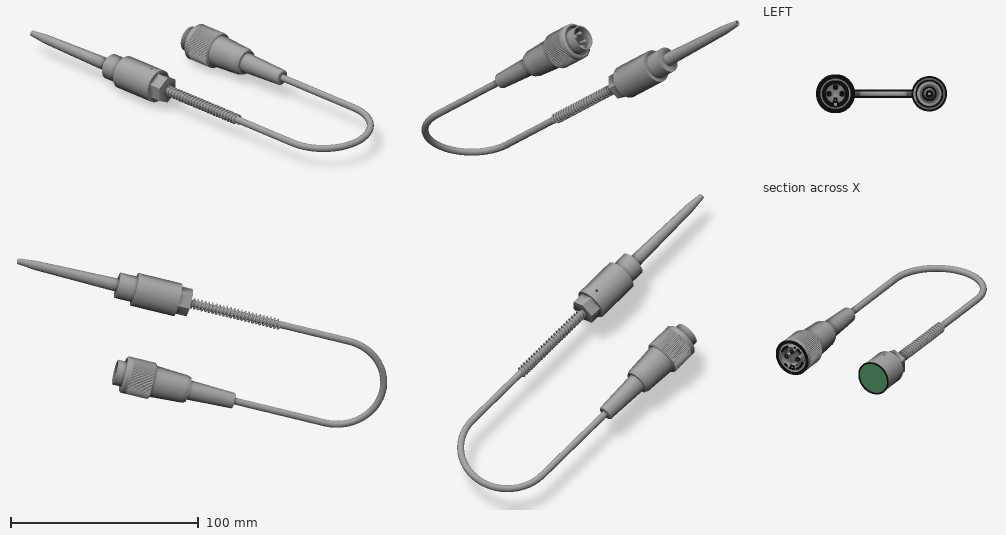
import cadquery as cq
import math


cable_diameter = 3.7
bend_radius = 25.0
overall_length = 209.72
bend_center_x = overall_length - bend_radius - cable_diameter / 2
plug_axis_y = 2 * bend_radius

tip_diameter = 3.0
tip_bore_diameter = 2.46
tip_bore_depth = 3.0
nose_length = 10.0
nose_end_diameter = 5.0
taper_end_x = 52.5
shank_diameter = 7.0
probe_length = 55.0

collar_diameter = 13.9
collar_length = 9.5
grip_diameter = 18.0
grip_length = 24.0
vent_diameter = 1.5
vent_depth = 3.0
vent_from_grip_end = 4.7
handle_start_x = probe_length
grip_start_x = handle_start_x + collar_length
handle_end_x = grip_start_x + grip_length

nut_across_flats = 13.0
nut_length = 6.5
nut_turn = 90
nut_end_x = handle_end_x + nut_length

wire_diameter = 1.0
spring_pitch = 2.0
spring_length = 50.0
spring_diameter = 6.0
coil_radius = (spring_diameter - wire_diameter) / 2

ring_start_x = 71.8
ring_length = 16.3
ring_diameter = 19.9
ring_chamfer = 0.8
ring_recess_diameter = 17.1
ring_recess_depth = 2.5
smooth_band_length = 3.2
groove_count = 72
groove_width = 0.8
groove_depth = 0.35
ring_end_x = ring_start_x + ring_length

plug_start_x = 67.3
plug_nose_diameter = 13.6
plug_bore_diameter = 12.4
plug_bore_depth = 10.0
backshell_diameter = 17.1
backshell_end_diameter = 15.0
backshell_taper_end_x = 105.5
backshell_rim_diameter = 13.6
plug_end_x = 107.5
insulator_diameter = 11.2
insulator_height = 1.0
insulator_notch_width = 1.5
insulator_notch_radius = 2.4
pin_diameter = 2.0
pin_circle_radius = 3.5
pin_recess = 1.5
pin_chamfer = 0.4
pin_angles = (0, 90, 180)
key_width = 2.2
key_inner_radius = 4.6

boot_diameter = 10.6
boot_end_diameter = 8.4
boot_end_x = 132.9
boot_edge_radius = 0.8


def revolved(profile, axis_y=0.0):
    """Turn (x, radius) points into a solid of revolution about a line parallel to X."""
    start_x = profile[0][0]
    end_x = profile[-1][0]
    outline = [(start_x, 0)] + profile + [(end_x, 0)]
    solid = cq.Workplane("XY").polyline(outline).close().revolve(360, (0, 0, 0), (1, 0, 0))
    return solid.translate((0, axis_y, 0))


def rod(diameter, start_x, end_x, y=0.0, z=0.0):
    """Make a cylinder parallel to X."""
    plane = cq.Workplane("YZ", origin=(start_x, y, z))
    return plane.circle(diameter / 2).extrude(end_x - start_x)


def make_probe():
    body = revolved([
        (0, tip_diameter / 2),
        (nose_length, nose_end_diameter / 2),
        (taper_end_x, shank_diameter / 2),
        (probe_length, shank_diameter / 2),
    ])
    return body.cut(rod(tip_bore_diameter, 0, tip_bore_depth))


def make_handle():
    collar = rod(collar_diameter, handle_start_x, grip_start_x)
    grip = rod(grip_diameter, grip_start_x, handle_end_x)
    vent_x = handle_end_x - vent_from_grip_end
    vent_floor = cq.Workplane("XY", origin=(vent_x, 0, grip_diameter / 2 - vent_depth))
    vent = vent_floor.circle(vent_diameter / 2).extrude(vent_depth)
    return collar.union(grip).cut(vent)


def make_nut():
    across_corners = nut_across_flats / math.cos(math.pi / 6)
    hexagon = cq.Workplane("YZ", origin=(handle_end_x, 0, 0)).polygon(6, across_corners)
    return hexagon.extrude(nut_length).rotate((0, 0, 0), (1, 0, 0), nut_turn)


def make_spring():
    """Left-hand coil round the cable, starting against the nut."""
    coil_height = spring_length - wire_diameter
    helix = cq.Wire.makeHelix(spring_pitch, coil_height, coil_radius, lefthand=True)
    wire_section = cq.Workplane("XZ", origin=(coil_radius, 0, 0)).circle(wire_diameter / 2)
    coil = wire_section.sweep(cq.Workplane(obj=helix), isFrenet=True)
    along_x = coil.rotate((0, 0, 0), (0, 1, 0), 90)
    along_x = along_x.rotate((0, 0, 0), (1, 0, 0), 180)
    return along_x.translate((nut_end_x + wire_diameter / 2, 0, 0))


def make_cable():
    path = (
        cq.Workplane("XY")
        .moveTo(nut_end_x, 0)
        .lineTo(bend_center_x, 0)
        .threePointArc((bend_center_x + bend_radius, bend_radius), (bend_center_x, plug_axis_y))
        .lineTo(boot_end_x, plug_axis_y)
    )
    return cq.Workplane("YZ", origin=(nut_end_x, 0, 0)).circle(cable_diameter / 2).sweep(path)


def make_grip_grooves():
    """V-shaped axial grooves, evenly spaced round the coupling ring."""
    groove_start_x = ring_start_x + smooth_band_length
    crest_radius = ring_diameter / 2
    outline = [
        (-groove_width / 2, crest_radius),
        (0, crest_radius - groove_depth),
        (groove_width / 2, crest_radius),
        (0, crest_radius + groove_depth),
    ]
    groove = cq.Workplane("YZ", origin=(groove_start_x, 0, 0)).polyline(outline).close()
    groove = groove.extrude(ring_end_x - groove_start_x)
    grooves = []
    for index in range(groove_count):
        turned = groove.rotate((0, 0, 0), (1, 0, 0), index * 360 / groove_count)
        grooves.append(turned.translate((0, plug_axis_y, 0)).val())
    return grooves


def make_coupling_ring():
    ring = rod(ring_diameter, ring_start_x, ring_end_x, plug_axis_y)
    ring = ring.faces("<X or >X").chamfer(ring_chamfer)
    ring = ring.cut(rod(plug_nose_diameter, ring_start_x, ring_end_x, plug_axis_y))
    recess_end_x = ring_start_x + ring_recess_depth
    ring = ring.cut(rod(ring_recess_diameter, ring_start_x, recess_end_x, plug_axis_y))
    return cq.Workplane(obj=ring.val().cut(*make_grip_grooves()))


def make_plug():
    body = revolved([
        (plug_start_x, plug_nose_diameter / 2),
        (ring_end_x, plug_nose_diameter / 2),
        (ring_end_x, backshell_diameter / 2),
        (backshell_taper_end_x, backshell_end_diameter / 2),
        (plug_end_x, backshell_rim_diameter / 2),
    ], plug_axis_y)
    bore_end_x = plug_start_x + plug_bore_depth
    bore = rod(plug_bore_diameter, plug_start_x, bore_end_x, plug_axis_y)

    key_height = plug_bore_diameter / 2 - key_inner_radius
    key = cq.Workplane("XY").box(plug_bore_depth, key_width, key_height, centered=(False, True, False))
    key = key.translate((plug_start_x, plug_axis_y, -plug_bore_diameter / 2))
    key_rib = key.intersect(bore)
    body = body.cut(bore)

    insulator_start_x = bore_end_x - insulator_height
    insulator = rod(insulator_diameter, insulator_start_x, bore_end_x, plug_axis_y)
    notch_height = insulator_diameter / 2 - insulator_notch_radius
    notch_size = (insulator_height, insulator_notch_width, notch_height)
    notch = cq.Workplane("XY").box(*notch_size, centered=(False, True, False))
    notch = notch.translate((insulator_start_x, plug_axis_y, -insulator_diameter / 2))
    body = body.union(insulator.cut(notch)).union(key_rib)

    for angle in pin_angles:
        pin_y = plug_axis_y + pin_circle_radius * math.cos(math.radians(angle))
        pin_z = pin_circle_radius * math.sin(math.radians(angle))
        pin_start_x = plug_start_x + pin_recess
        pin = rod(pin_diameter, pin_start_x, bore_end_x, pin_y, pin_z)
        body = body.union(pin.faces("<X").chamfer(pin_chamfer))
    return body


def make_boot():
    boot = revolved([
        (plug_end_x, boot_diameter / 2),
        (boot_end_x, boot_end_diameter / 2),
    ], plug_axis_y)
    return boot.faces(">X").edges().fillet(boot_edge_radius)


probe = make_probe()
handle = make_handle()
nut = make_nut()
spring = make_spring()
cable = make_cable()
coupling_ring = make_coupling_ring()
plug = make_plug()
boot = make_boot()

result = cq.Compound.makeCompound([
    probe.val(),
    handle.val(),
    nut.val(),
    spring.val(),
    cable.val(),
    coupling_ring.val(),
    plug.val(),
    boot.val(),
])